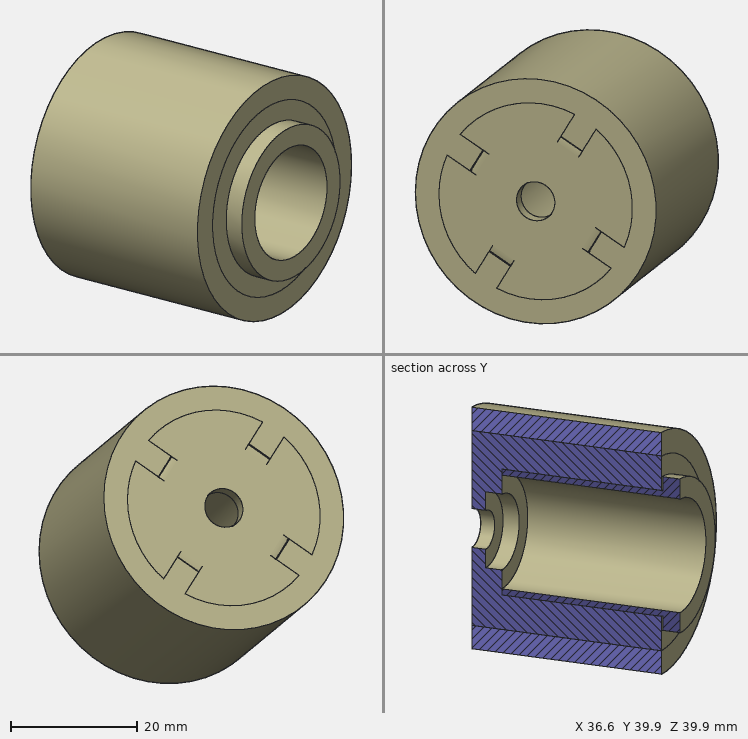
import cadquery as cq
import math

TYRE_DIAMETER = 39.87
TYRE_LENGTH = 33.35

HUB_DIAMETER = 32.0
AXLE_HOLE_DIAMETER = 6.35
END_WALL_THICKNESS = 2.47
RECESS_DIAMETER = 12.45
SLEEVE_START = 5.3

SLEEVE_DIAMETER = 20.65
SLEEVE_BORE_DIAMETER = 18.65
SLEEVE_END = 36.6
FLANGE_DIAMETER = 25.4
FLANGE_GAP = 0.15

NOTCH_COUNT = 4
NOTCH_TURN = 31.2
NOTCH_WIDTH = 4.15
NOTCH_DEPTH = END_WALL_THICKNESS
NOTCH_INNER_REACH = 11.35
TAB_GAP = 0.1
TAB_INNER_REACH = NOTCH_INNER_REACH + TAB_GAP

RAMP_INNER_REACH = 10.33
RAMP_RADIUS = 5.0
RAMP_LENGTH = NOTCH_INNER_REACH - RAMP_INNER_REACH
RAMP_DROP = RAMP_RADIUS - math.sqrt(RAMP_RADIUS**2 - RAMP_LENGTH**2)


def cylinder_x(diameter, start, end):
    """A solid cylinder about the X axis, from X = start to X = end."""
    return cq.Workplane("YZ", origin=(start, 0, 0)).circle(diameter / 2).extrude(end - start)


def radial_block(inner_reach):
    """A block along +Z that fills the notch width from a given reach out to the hub's outer surface."""
    block = cq.Workplane("XY", origin=(0, 0, inner_reach)).box(
        NOTCH_DEPTH, NOTCH_WIDTH, HUB_DIAMETER / 2 - inner_reach, centered=(False, True, False)
    )
    return block.intersect(cylinder_x(HUB_DIAMETER, 0, NOTCH_DEPTH))


def ramp_shape():
    """The wedge-like space over one ramp, whose arc starts tangent to the end face."""
    profile = (
        cq.Workplane("XZ", origin=(0, NOTCH_WIDTH / 2, 0))
        .moveTo(0, RAMP_INNER_REACH)
        .radiusArc((RAMP_DROP, NOTCH_INNER_REACH), RAMP_RADIUS)
        .lineTo(0, NOTCH_INNER_REACH)
        .close()
    )
    return profile.extrude(NOTCH_WIDTH)


def around_axis(shape):
    """Copies of a shape at every notch position around the X axis."""
    step = 360 / NOTCH_COUNT
    return [shape.rotate((0, 0, 0), (1, 0, 0), NOTCH_TURN + i * step) for i in range(NOTCH_COUNT)]


def make_hub():
    hub = cylinder_x(HUB_DIAMETER, 0, TYRE_LENGTH)
    hub = hub.cut(cylinder_x(AXLE_HOLE_DIAMETER, 0, END_WALL_THICKNESS))
    hub = hub.cut(cylinder_x(RECESS_DIAMETER, END_WALL_THICKNESS, SLEEVE_START))
    hub = hub.cut(cylinder_x(SLEEVE_DIAMETER, SLEEVE_START, TYRE_LENGTH))
    for notch in around_axis(radial_block(NOTCH_INNER_REACH).union(ramp_shape())):
        hub = hub.cut(notch)
    return hub


def make_tyre():
    tyre = cylinder_x(TYRE_DIAMETER, 0, TYRE_LENGTH).cut(cylinder_x(HUB_DIAMETER, 0, TYRE_LENGTH))
    for tab in around_axis(radial_block(TAB_INNER_REACH)):
        tyre = tyre.union(tab)
    return tyre


def make_sleeve():
    barrel = cylinder_x(SLEEVE_DIAMETER, SLEEVE_START, SLEEVE_END)
    flange = cylinder_x(FLANGE_DIAMETER, TYRE_LENGTH + FLANGE_GAP, SLEEVE_END)
    return barrel.union(flange).cut(cylinder_x(SLEEVE_BORE_DIAMETER, SLEEVE_START, SLEEVE_END))


hub = make_hub()
tyre = make_tyre()
sleeve = make_sleeve()

result = cq.Compound.makeCompound([tyre.solids().val(), hub.solids().val(), sleeve.solids().val()])